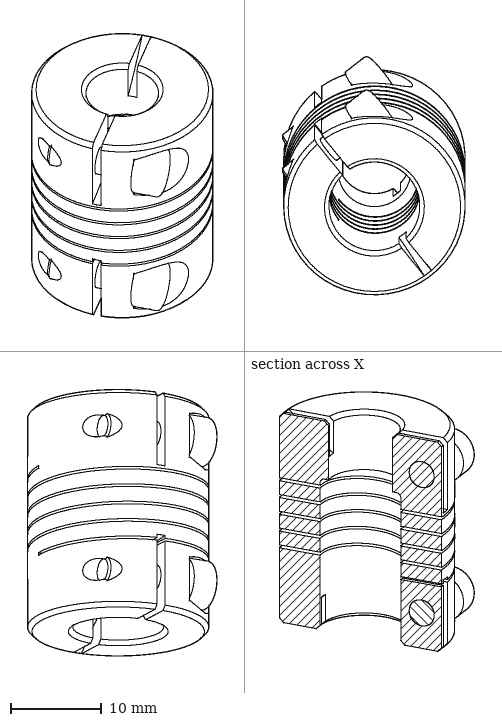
import cadquery as cq
import math

LENGTH = 25.0
OUTER_RADIUS = 10.0
BORE_RADIUS = 4.0
EDGE_CHAMFER = 0.5

WIDE_BORE_RADIUS = 5.0
WIDE_BORE_TOP_Z = 5.5
WIDE_BORE_FILLET = 0.5

SLIT_PITCH = 2.0
SLIT_TURNS = 5
SLIT_WIDTH = 0.3
SLIT_START_ANGLE = 180.0
SLIT_OVERLAP = 0.5

CLAMP_SLIT_WIDTH = 1.0
CLAMP_SLIT_DEPTH = 8.5
CLAMP_FLOOR_RADIUS = 29.5

SCREW_Y = -7.5
SCREW_Z = 8.25
SHANK_RADIUS = 1.5
SHANK_CHAMFER = 0.25
SHANK_TIP_X = -6.0
HEAD_SEAT_X = 4.0
HEAD_RADIUS = 2.75
HEAD_HEIGHT = 3.0
HEAD_FILLET = 0.38
HEAD_POCKET_RADIUS = 3.0
TIP_HOLE_RADIUS = SHANK_RADIUS - SHANK_CHAMFER

END_Z = LENGTH / 2
SCREW_HEIGHTS = (-SCREW_Z, SCREW_Z)


def cylinder_along_x(radius, x_start, x_end, z):
    """Cylinder on a screw axis at height z, between two X positions."""
    return (
        cq.Workplane("YZ", origin=(x_start, SCREW_Y, z))
        .circle(radius)
        .extrude(x_end - x_start)
    )


def make_screw(z):
    """Cap screw at height z, with its head on the +X side."""
    shank = cylinder_along_x(SHANK_RADIUS, SHANK_TIP_X, HEAD_SEAT_X, z)
    shank = shank.faces("<X").chamfer(SHANK_CHAMFER)
    head = cylinder_along_x(HEAD_RADIUS, HEAD_SEAT_X, HEAD_SEAT_X + HEAD_HEIGHT, z)
    head = head.faces(">X").edges().fillet(HEAD_FILLET)
    return shank.union(head)


def make_tube():
    """Round bar with chamfered rims and a stepped bore, wider on the -Z side."""
    tube = cq.Workplane("XY").circle(OUTER_RADIUS).circle(BORE_RADIUS).extrude(LENGTH)
    tube = tube.translate((0, 0, -END_Z))
    wide_bore = (
        cq.Workplane("XY", origin=(0, 0, -END_Z))
        .circle(WIDE_BORE_RADIUS)
        .extrude(WIDE_BORE_TOP_Z + END_Z)
        .faces(">Z")
        .edges()
        .fillet(WIDE_BORE_FILLET)
    )
    return tube.cut(wide_bore).faces("<Z or >Z").edges().chamfer(EDGE_CHAMFER)


def make_helical_slit():
    """Rectangular strip wound around Z, cutting through the whole wall."""
    height = SLIT_PITCH * SLIT_TURNS
    inner = WIDE_BORE_RADIUS - SLIT_OVERLAP
    outer = OUTER_RADIUS + SLIT_OVERLAP
    middle = (inner + outer) / 2
    path = cq.Wire.makeHelix(SLIT_PITCH, height, middle)
    strip = (
        cq.Workplane("XZ")
        .center(middle, 0)
        .rect(outer - inner, SLIT_WIDTH)
        .sweep(cq.Workplane(obj=path), isFrenet=True)
    )
    strip = strip.rotate((0, 0, 0), (0, 0, 1), SLIT_START_ANGLE)
    return strip.translate((0, 0, -height / 2))


def make_clamp_slit():
    """Slit at the +Z end: its floor is an arc, deep at -Y and rising to the rim at +Y."""
    front = (-OUTER_RADIUS, END_Z - CLAMP_SLIT_DEPTH)
    back = (OUTER_RADIUS - EDGE_CHAMFER, END_Z)
    run = back[0] - front[0]
    chord = math.hypot(run, CLAMP_SLIT_DEPTH)
    sag = CLAMP_FLOOR_RADIUS - math.sqrt(CLAMP_FLOOR_RADIUS**2 - (chord / 2) ** 2)
    floor_middle = (
        (front[0] + back[0]) / 2 + sag * CLAMP_SLIT_DEPTH / chord,
        (front[1] + back[1]) / 2 - sag * run / chord,
    )
    return (
        cq.Workplane("YZ")
        .moveTo(*front)
        .threePointArc(floor_middle, back)
        .lineTo(front[0], END_Z)
        .close()
        .extrude(CLAMP_SLIT_WIDTH / 2, both=True)
    )


def make_screw_hole(z):
    """Hole across the body for the screw at height z: tip hole, shank and head pocket."""
    tip_hole = cylinder_along_x(TIP_HOLE_RADIUS, -OUTER_RADIUS, SHANK_TIP_X, z)
    head_pocket = cylinder_along_x(HEAD_POCKET_RADIUS, HEAD_SEAT_X, OUTER_RADIUS, z)
    return make_screw(z).union(tip_hole).union(head_pocket)


def make_body():
    """Coupling body with its stepped bore, slits and screw holes."""
    body = make_tube()
    clamp_slit = make_clamp_slit()
    for slit in (clamp_slit, clamp_slit.mirror("XY")):
        body = body.cut(slit)
    for z in SCREW_HEIGHTS:
        body = body.cut(make_screw_hole(z))
    return body.cut(make_helical_slit())


coupling_body = make_body()
screws = [make_screw(z) for z in SCREW_HEIGHTS]

result = cq.Compound.makeCompound([coupling_body.val(), *[screw.val() for screw in screws]])